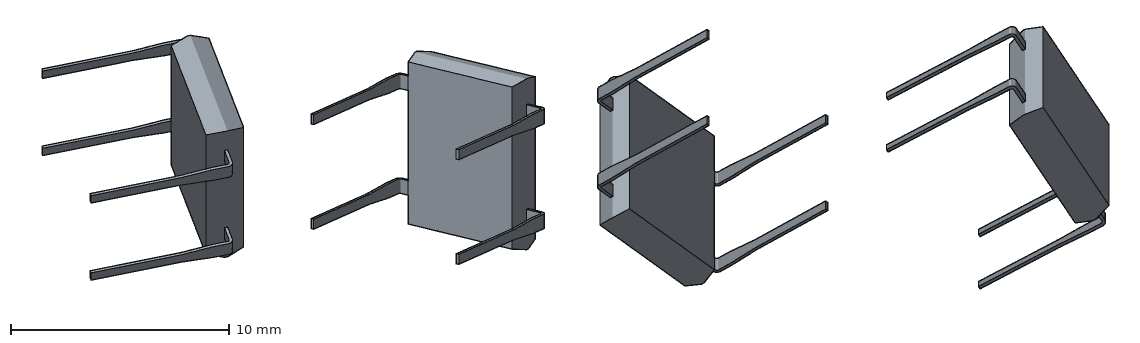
import cadquery as cq

housing_width = 6.33
housing_height = 8.28
housing_depth = 1.8
draft_inset = 0.21

strip_thickness = 0.15
lead_span = 8.4
lead_pitch = 5.07
lead_reach = 5.805
wide_width = 0.705
narrow_width = 0.49
taper_length = 1.495
bend_outer_radius = 0.24

bend_inner_radius = bend_outer_radius - strip_thickness
half_strip = strip_thickness / 2
half_span = lead_span / 2
half_housing = housing_width / 2
front_y = -housing_depth / 2
taper_end_y = front_y - taper_length
tip_y = front_y - lead_reach


def make_drafted_half(direction):
    """Frustum from the middle band to the front (-1) or back (+1) face."""
    draft_depth = housing_depth / 2 - half_strip
    return (
        cq.Workplane("XZ", origin=(0, direction * half_strip, 0))
        .rect(housing_width, housing_height)
        .workplane(offset=-direction * draft_depth)
        .rect(housing_width - 2 * draft_inset, housing_height - 2 * draft_inset)
        .loft(ruled=True)
    )


def make_housing():
    band = cq.Workplane("XY").box(housing_width, strip_thickness, housing_height)
    return band.union(make_drafted_half(-1)).union(make_drafted_half(1))


def make_lead(side, z):
    """Lead on the left (-1) or right (+1) side, centred at height z."""
    strip = (
        cq.Workplane("XY")
        .moveTo(half_housing, half_strip)
        .lineTo(half_span - bend_outer_radius, half_strip)
        .radiusArc((half_span, half_strip - bend_outer_radius), bend_outer_radius)
        .lineTo(half_span, tip_y)
        .lineTo(half_span - strip_thickness, tip_y)
        .lineTo(half_span - strip_thickness, -half_strip - bend_inner_radius)
        .radiusArc((half_span - bend_outer_radius, -half_strip), -bend_inner_radius)
        .lineTo(half_housing, -half_strip)
        .close()
        .extrude(wide_width / 2, both=True)
    )
    width_outline = (
        cq.Workplane("YZ")
        .moveTo(half_strip, wide_width / 2)
        .lineTo(front_y, wide_width / 2)
        .lineTo(taper_end_y, narrow_width / 2)
        .lineTo(tip_y, narrow_width / 2)
        .lineTo(tip_y, -narrow_width / 2)
        .lineTo(taper_end_y, -narrow_width / 2)
        .lineTo(front_y, -wide_width / 2)
        .lineTo(half_strip, -wide_width / 2)
        .close()
        .extrude(half_span)
    )
    lead = strip.intersect(width_outline)
    if side < 0:
        lead = lead.mirror("YZ")
    return lead.translate((0, 0, z))


housing = make_housing()
leads = [
    make_lead(side, level * lead_pitch / 2)
    for side in (-1, 1)
    for level in (-1, 1)
]

result = cq.Compound.makeCompound([housing.val(), *[lead.val() for lead in leads]])